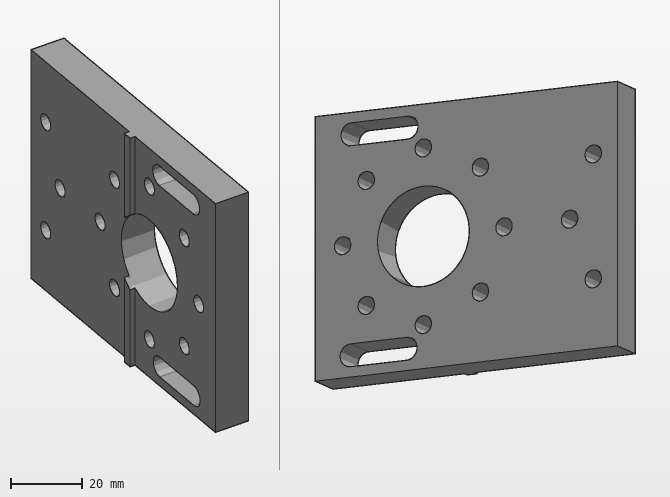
import cadquery as cq
import math

length = 95.25
height = 76.2
total_depth = 12.7
rib_depth = 1.6
thickness = total_depth - rib_depth

bore_x = 61.15
bore_diameter = 28.9
hole_diameter = 5.1
ring_radius = 25.4
ring_hole_count = 8
ring_step = 360 / ring_hole_count

left_pair_x = 7.6
left_single_x = 15.05
left_pair_z = ring_radius * math.sin(math.radians(ring_step))

slot_length = 24.2
slot_width = 6.6
upper_slot_x = 75.0
lower_slot_x = 75.2
slot_z = 31.8

rib_left_x = 50.7
rib_width = 3.05


def block(x_start, x_size, y_start, y_size):
    """Full-height block with its left and front faces at the given places."""
    solid = cq.Workplane("XY").box(x_size, y_size, height, centered=(False, False, True))
    return solid.translate((x_start, y_start, 0))


def back_face():
    """Workplane on the back face of the plate, with its normal pointing to the front."""
    return cq.Workplane("XZ", origin=(0, thickness, 0))


plate = block(0, length, 0, thickness)
rib = block(rib_left_x, rib_width, -rib_depth, rib_depth)

bore = back_face().center(bore_x, 0).circle(bore_diameter / 2).extrude(total_depth)

hole_points = [(left_pair_x, left_pair_z), (left_pair_x, -left_pair_z), (left_single_x, 0)]
for index in range(ring_hole_count):
    angle = math.radians(index * ring_step)
    hole_points.append((bore_x + ring_radius * math.cos(angle), ring_radius * math.sin(angle)))
holes = back_face().pushPoints(hole_points).circle(hole_diameter / 2).extrude(total_depth)

slot_points = [(upper_slot_x, slot_z), (lower_slot_x, -slot_z)]
slots = back_face().pushPoints(slot_points).slot2D(slot_length, slot_width).extrude(total_depth)

result = plate.union(rib).cut(bore).cut(holes).cut(slots)